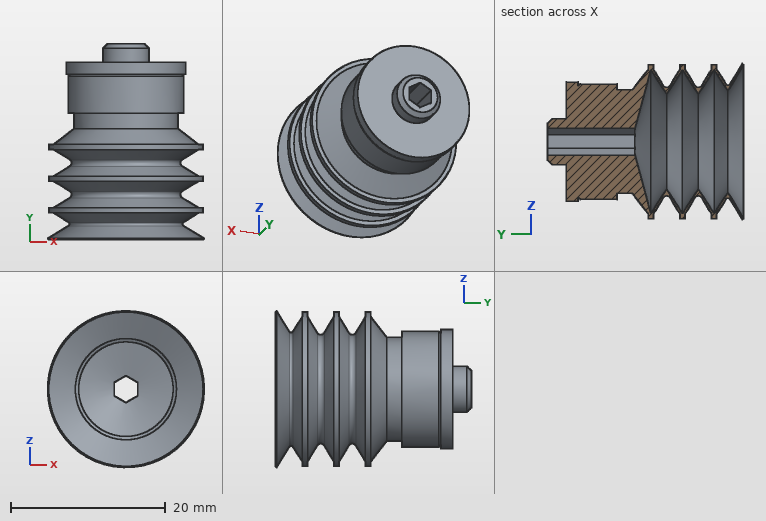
import cadquery as cq
import math

total_length = 25.4
pin_chamfer = 0.6
flange_back = 22.99
flange_front = 21.4
body_front = 16.38
neck_front = 14.4
ring_width = 0.69
ring_pitch = 4.1
ring_count = 3
last_ring_front = 3.48

pin_radius = 6.0 / 2
flange_radius = 15.5 / 2
body_radius = 15.0 / 2
body_chamfer = 0.25
neck_radius = 13.5 / 2
ring_radius = 20.0 / 2
fold_radius = 9.4
groove_radius = 7.05
groove_fillet = 0.5
lip_groove_radius = 7.35
lip_groove_fillet = 0.25
lip_radius = 20.3 / 2
lip_edge = 0.18

lip_inner_radius = 9.98
lip_ridge_radius = 6.55
lip_ridge_place = 2.03
ridge_radius = 6.12
pocket_radius = 9.27
floor_rise = 0.27
hex_across_flats = 3.0


def add_groove(profile, place, bottom_radius, fillet, front_slope, back_slope):
    """Round groove bottom, tangent to a cone in front and a cone behind.

    A slope is the axial run per unit of radius of that cone.
    """
    center_radius = bottom_radius + fillet
    front = math.atan(front_slope)
    back = math.atan(back_slope)
    return (
        profile.lineTo(center_radius - fillet * math.sin(front), place - fillet * math.cos(front))
        .threePointArc(
            (bottom_radius, place),
            (center_radius - fillet * math.sin(back), place + fillet * math.cos(back)),
        )
    )


def cone_slope(center_radius, fillet, outer_radius, run):
    """Slope of the line from (outer_radius, run) that touches the groove fillet."""
    reach = outer_radius - center_radius
    angle = math.atan2(run, reach) - math.asin(fillet / math.hypot(reach, run))
    return math.tan(angle)


def make_outside():
    gap = ring_pitch - ring_width
    slope = cone_slope(groove_radius + groove_fillet, groove_fillet, fold_radius, gap / 2)
    lip_groove_center = lip_groove_radius + lip_groove_fillet
    front_slope = cone_slope(lip_groove_center, lip_groove_fillet, lip_radius, lip_ridge_place - lip_edge)
    back_slope = cone_slope(
        lip_groove_center, lip_groove_fillet, fold_radius, last_ring_front - lip_ridge_place
    )
    profile = cq.Workplane("XY").lineTo(lip_inner_radius, 0).lineTo(lip_radius, lip_edge)
    profile = add_groove(
        profile, lip_ridge_place, lip_groove_radius, lip_groove_fillet, front_slope, back_slope
    )
    for ring in range(ring_count):
        front = last_ring_front + ring * ring_pitch
        back = front + ring_width
        if ring > 0:
            profile = add_groove(profile, front - gap / 2, groove_radius, groove_fillet, slope, slope)
        profile = (
            profile.lineTo(fold_radius, front)
            .lineTo(ring_radius, front)
            .lineTo(ring_radius, back)
            .lineTo(fold_radius, back)
        )
    profile = (
        profile.lineTo(neck_radius, neck_front)
        .lineTo(neck_radius, body_front)
        .lineTo(body_radius, body_front)
        .lineTo(body_radius, flange_front - body_chamfer)
        .lineTo(body_radius - body_chamfer, flange_front)
        .lineTo(flange_radius, flange_front)
        .lineTo(flange_radius, flange_back)
        .lineTo(pin_radius, flange_back)
        .lineTo(pin_radius, total_length - pin_chamfer)
        .lineTo(pin_radius - pin_chamfer, total_length)
        .lineTo(0, total_length)
        .close()
    )
    return profile.revolve(360, (0, 0, 0), (0, 1, 0))


def make_cavity():
    """Folded cavity: a pocket inside each ring, a ridge inside each groove."""
    profile = (
        cq.Workplane("XY").lineTo(lip_inner_radius, 0).lineTo(lip_ridge_radius, lip_ridge_place)
    )
    for ring in range(ring_count):
        middle = last_ring_front + ring_width / 2 + ring * ring_pitch
        if ring > 0:
            profile = profile.lineTo(ridge_radius, middle - ring_pitch / 2)
        profile = profile.lineTo(pocket_radius, middle)
    floor_tip = middle + pocket_radius * floor_rise
    return profile.lineTo(0, floor_tip).close().revolve(360, (0, 0, 0), (0, 1, 0))


def make_hex_hole():
    """Hexagonal hole along the whole axis, corners pointing up and down."""
    corner_diameter = hex_across_flats / math.cos(math.pi / 6)
    return (
        cq.Workplane("XZ")
        .transformed(rotate=(0, 0, 90))
        .polygon(6, corner_diameter)
        .extrude(-total_length)
    )


result = make_outside().cut(make_cavity()).cut(make_hex_hole())